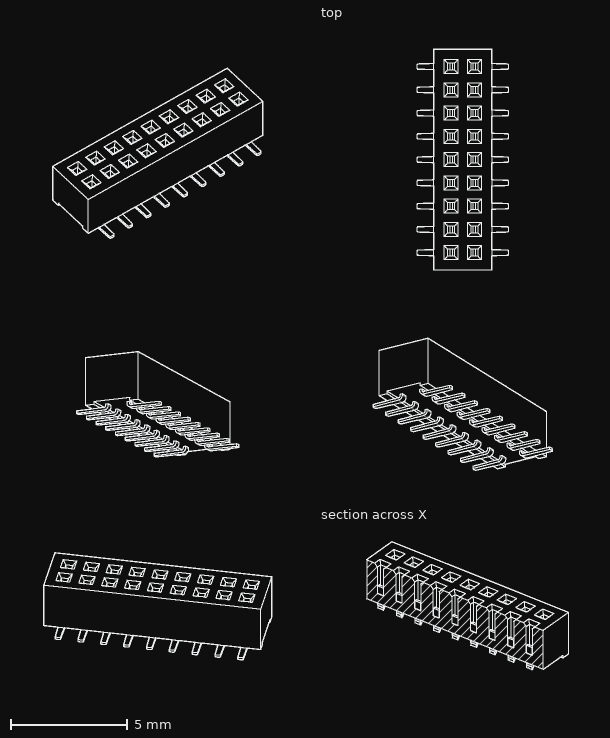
import cadquery as cq

body_length = 9.5
body_width = 2.5
body_bottom = 0.13
body_top = 2.25
channel_width = 1.69
channel_top = 0.26

rows = 9
end_margin_in_pitches = 0.75
pitch = body_length / (rows - 1 + 2 * end_margin_in_pitches)
row_places = [(row - (rows - 1) / 2) * pitch for row in range(rows)]

mouth_size = 0.6
mouth_depth = 0.15
hole_size = 0.3
hole_floor = 0.76

contact_span = 3.95
metal = 0.11
bend_radius = 0.08
post_width = hole_size
post_top = 1.14
tip_width = 0.24
tip_bulge = 0.03

post_center = pitch / 2
post_inner = post_center - metal / 2
post_outer = post_center + metal / 2
bend_outer_radius = bend_radius + metal
foot_start = post_inner + bend_outer_radius
foot_end = contact_span / 2


def make_housing():
    """Block with a channel along its underside."""
    block = cq.Workplane("XY").workplane(offset=body_bottom).rect(body_width, body_length)
    block = block.extrude(body_top - body_bottom)
    channel = cq.Workplane("XY").workplane(offset=body_bottom).rect(channel_width, body_length)
    return block.cut(channel.extrude(channel_top - body_bottom))


def make_socket():
    """Cavity on the Z axis, open at the top of the housing."""
    mouth = (
        cq.Workplane("XY")
        .workplane(offset=body_top - mouth_depth)
        .rect(hole_size, hole_size)
        .workplane(offset=mouth_depth)
        .rect(mouth_size, mouth_size)
        .loft(ruled=True)
    )
    hole = cq.Workplane("XY").workplane(offset=hole_floor).rect(hole_size, hole_size)
    return mouth.union(hole.extrude(body_top - mouth_depth - hole_floor))


def make_contact():
    """Contact of the +X column: a flat foot bent up into a vertical post."""
    side_profile = (
        cq.Workplane("XZ")
        .moveTo(foot_end, 0)
        .lineTo(foot_start, 0)
        .radiusArc((post_inner, bend_outer_radius), bend_outer_radius)
        .lineTo(post_inner, post_top)
        .lineTo(post_outer, post_top)
        .lineTo(post_outer, bend_outer_radius)
        .radiusArc((foot_start, metal), -bend_radius)
        .lineTo(foot_end, metal)
        .close()
        .extrude(post_width / 2, both=True)
    )
    plan_outline = (
        cq.Workplane("XY")
        .moveTo(post_inner, -post_width / 2)
        .lineTo(foot_start, -post_width / 2)
        .lineTo(foot_end - tip_bulge, -tip_width / 2)
        .threePointArc((foot_end, 0), (foot_end - tip_bulge, tip_width / 2))
        .lineTo(foot_start, post_width / 2)
        .lineTo(post_inner, post_width / 2)
        .close()
        .extrude(post_top)
    )
    return side_profile.intersect(plan_outline)


def place_at_grid(shape):
    """Copies of a +X column shape in every row, mirrored to the -X column."""
    mirrored = shape.mirror("YZ")
    copies = cq.Workplane("XY")
    for y in row_places:
        copies = copies.add(shape.translate((0, y, 0)))
        copies = copies.add(mirrored.translate((0, y, 0)))
    return copies.combine()


sockets = place_at_grid(make_socket().translate((post_center, 0, 0)))
contacts = place_at_grid(make_contact())
result = make_housing().cut(sockets).union(contacts)